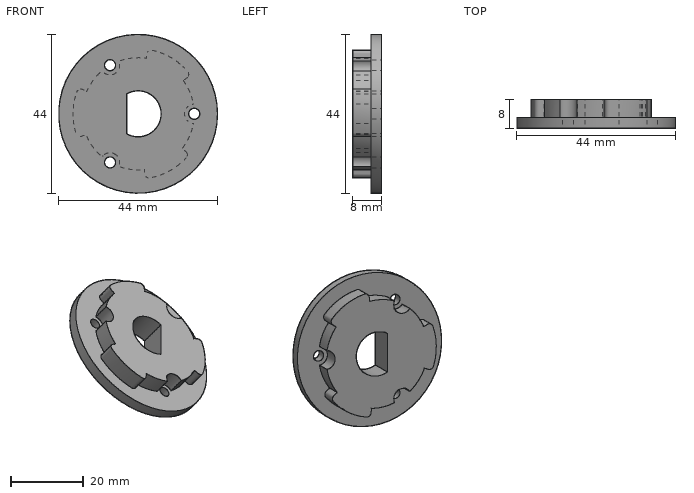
import cadquery as cq
import math

plate_radius = 22.0
plate_thickness = 3.0
total_depth = 8.0
boss_height = total_depth - plate_thickness

bore_radius = 6.35
bore_flat_offset = 3.12

screw_count = 3
screw_pitch = 360 / screw_count
screw_circle_radius = 15.55
screw_hole_radius = 1.5
notch_radius = 2.7

core_radius = screw_circle_radius
lobe_radius = 18.05
lobe_corner_radius = 1.25
lobe_center_angle = 179.0
lobe_half_angle = 22.7


def cylinder(radius, start, depth, x=0.0, z=0.0):
    """Cylinder along +Y, starting at Y = start."""
    return cq.Workplane("XZ", origin=(x, start, z)).circle(radius).extrude(-depth)


def polar(radius, angle):
    """Point in the XZ plane; the angle runs from +X toward +Z in degrees."""
    radians = math.radians(angle)
    return (radius * math.cos(radians), radius * math.sin(radians))


def make_lobe(center_angle):
    """Sector with radial flanks and rounded outer corners."""
    corner_center_radius = lobe_radius - lobe_corner_radius
    corner_angle = math.degrees(math.asin(lobe_corner_radius / corner_center_radius))
    flank_length = math.sqrt(corner_center_radius**2 - lobe_corner_radius**2)
    first_angle = center_angle - lobe_half_angle
    last_angle = center_angle + lobe_half_angle
    arc_start = polar(lobe_radius, first_angle + corner_angle)
    arc_end = polar(lobe_radius, last_angle - corner_angle)
    return (
        cq.Workplane("XZ", origin=(0, plate_thickness, 0))
        .lineTo(*polar(flank_length, first_angle))
        .radiusArc(arc_start, -lobe_corner_radius)
        .threePointArc(polar(lobe_radius, center_angle), arc_end)
        .radiusArc(polar(flank_length, last_angle), -lobe_corner_radius)
        .close()
        .extrude(-boss_height)
    )


def make_bore():
    """Round bore with a flat on its -X side."""
    flat_half_height = math.sqrt(bore_radius**2 - bore_flat_offset**2)
    return (
        cq.Workplane("XZ")
        .moveTo(-bore_flat_offset, -flat_half_height)
        .threePointArc((bore_radius, 0), (-bore_flat_offset, flat_half_height))
        .close()
        .extrude(-total_depth)
    )


screw_angles = [index * screw_pitch for index in range(screw_count)]

boss = cylinder(core_radius, plate_thickness, boss_height)
for angle in screw_angles:
    boss = boss.union(make_lobe(lobe_center_angle + angle))
for angle in screw_angles:
    x, z = polar(screw_circle_radius, angle)
    boss = boss.cut(cylinder(notch_radius, plate_thickness, boss_height, x, z))

result = cylinder(plate_radius, 0, plate_thickness).union(boss)
result = result.cut(make_bore())
for angle in screw_angles:
    x, z = polar(screw_circle_radius, angle)
    result = result.cut(cylinder(screw_hole_radius, 0, plate_thickness, x, z))